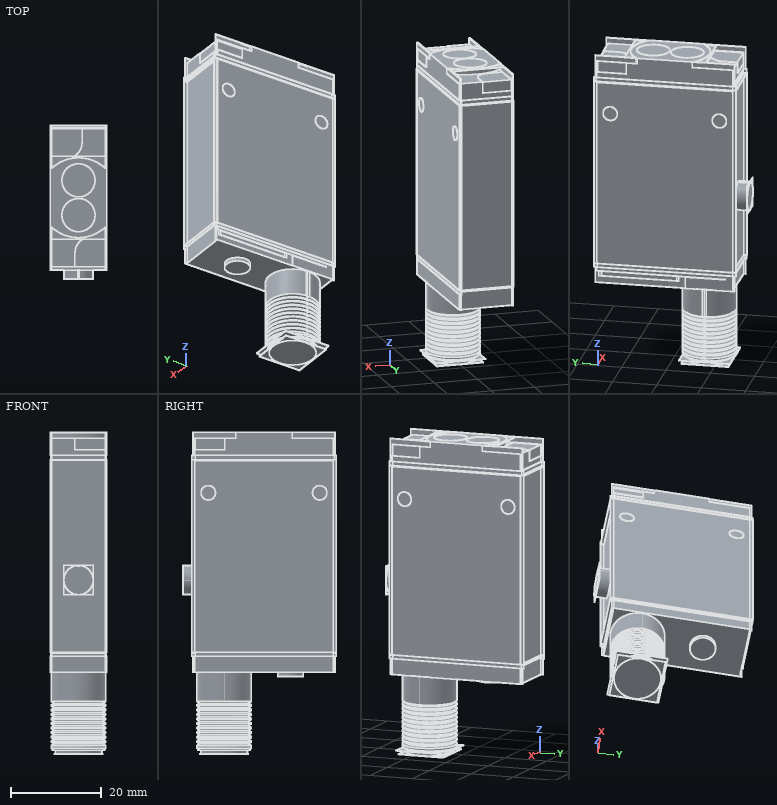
import cadquery as cq


width = 12.5
length = 32.0
height = 71.1
housing_bottom = 18.05
plate_thickness = 0.35
cap_length = 31.4
core_length = 30.55
core_width = width - 2 * plate_thickness
end_floor = 69.8
upper_seam = (65.05, 65.95)
lower_seam = (21.6, 22.45)
flange_thickness = 0.15
flange_tops = (upper_seam[0], lower_seam[1])
rear_lip = 0.2

step = 0.1
deep_step = 0.15
deepest_step = 0.2
seam_ledge = 0.2

optic_radius = 8.8
optic_plate_length = 18.3
lens_diameter = 7.3
lens_offset = 3.85
notch_inner = (optic_radius**2 - (width / 2) ** 2) ** 0.5

window_edge_x = 0.8
window_edge_y = 8.7
window_bottom = 67.25
window_corner_radius = 3.5

mount_diameter = 3.2
mount_offset = 12.3
mount_z = 57.7

latch_top = 20.75
latch_edge_y = -4.6
latch_slot_y = (-3.1, 14.9)
latch_slot_floor_y = (-2.7, 14.3)
latch_slot_bottom = 19.6
latch_slit_end = -13.6

button_diameter = 6.5
button_z = 38.45
overall_length = 34.0
button_tip = length / 2 - overall_length
button_groove_width = 0.4
button_groove_depth = 0.15

connector_y = -8.8
connector_diameter = 12.1
thread_root_diameter = 10.8
thread_pitch = 1.0
thread_top = 11.65
thread_count = 10
thread_crest = 0.2
collar_height = 0.35
tip_diameter = 10.4
collar_z = 0.85
collar_size = 11.5
tip_plate_size = 10.65
plate_height = 0.1
key_groove_width = 1.0
key_groove_depth = 0.2

screw_diameter = 5.7
screw_y = 5.8
screw_bottom = 17.1


def block(x, y, z):
    """Box spanning the given (low, high) pairs along each axis."""
    size = [high - low for low, high in (x, y, z)]
    return cq.Workplane("XY").box(*size, centered=False).translate((x[0], y[0], z[0]))


def centred_block(size_x, size_y, z):
    return block((-size_x / 2, size_x / 2), (-size_y / 2, size_y / 2), z)


def post(diameter, y, z):
    """Upright cylinder on the X = 0 plane."""
    return cq.Workplane("XY", origin=(0, y, z[0])).circle(diameter / 2).extrude(z[1] - z[0])


def half_turn(shape):
    return shape.rotate((0, 0, 0), (0, 0, 1), 180)


def both_ways(shape):
    """The shape and its copy turned half a turn about Z."""
    return shape.union(half_turn(shape))


def make_core():
    core = centred_block(core_width, core_length, (housing_bottom, end_floor))
    rear = (core_length / 2, core_length / 2 + rear_lip)
    core = core.union(block((-core_width / 2, core_width / 2), rear, upper_seam))
    front = (-core_length / 2, -core_length / 2 + step)
    for seam in (upper_seam, lower_seam):
        core = core.cut(block((-core_width / 2, core_width / 2), front, seam))
    for z in flange_tops:
        core = core.union(centred_block(width, length, (z - flange_thickness, z)))
    return core


def make_side_plates():
    x = (-width / 2, -core_width / 2)
    plate = block(x, (-cap_length / 2, cap_length / 2), (housing_bottom, height))
    plate = plate.union(block(x, (-length / 2, length / 2), (lower_seam[0], upper_seam[1])))
    return both_ways(plate)


def make_optics():
    """Round-ended lens block rising just above a thin rectangular plate, with two sunk lenses."""
    rise = (end_floor, height)
    optics = post(2 * optic_radius, 0, rise).intersect(centred_block(width, length, rise))
    plate_top = height - step
    plate = centred_block(width, optic_plate_length, (plate_top - plate_height, plate_top))
    optics = optics.union(plate)
    for y in (-lens_offset, lens_offset):
        optics = optics.cut(post(lens_diameter, y, (plate_top, height)))
    return optics


def side_sink(depth, y, z):
    """Cutter for a shallow recess in the -X face."""
    return block((-width / 2, -width / 2 + depth), y, z)


def side_details():
    """Steps found on both wide faces: end notches, edge strips, seams and mounting marks."""
    half_core = core_length / 2
    half_length = length / 2
    cutter = side_sink(step, (notch_inner, half_length), (end_floor, height))
    cutter = cutter.union(side_sink(step, (-half_length, -notch_inner), (end_floor, height)))
    for y in ((half_core, half_length), (-half_length, -half_core)):
        cutter = cutter.union(side_sink(step, y, (housing_bottom, end_floor)))
    for z in (upper_seam, lower_seam):
        cutter = cutter.union(side_sink(deep_step, (-half_length, half_length), z))
    ledge = (upper_seam[0] - seam_ledge, upper_seam[0])
    cutter = cutter.union(side_sink(step, (-half_length, half_length), ledge))
    marks = (
        cq.Workplane("YZ", origin=(-width / 2, 0, 0))
        .pushPoints([(-mount_offset, mount_z), (mount_offset, mount_z)])
        .circle(mount_diameter / 2)
        .extrude(step)
    )
    return both_ways(cutter.union(marks))


def windows():
    """Sunk faces of the corner windows: on the end floor, the +Y end and the -X side."""
    half_core = core_length / 2
    z = (window_bottom, end_floor)
    x = (-core_width / 2, window_edge_x)
    top = block(x, (window_edge_y, half_core), (end_floor - step, end_floor))
    top = top.edges("|Z and >X and <Y").fillet(window_corner_radius)
    end = block(x, (half_core - step, half_core), z)
    side = side_sink(deep_step, (window_edge_y, half_core), z)
    return both_ways(top.union(end).union(side))


def latch_panel():
    panel = side_sink(step, (latch_edge_y, length / 2), (housing_bottom, latch_top))
    slot = side_sink(deep_step, latch_slot_y, (latch_slot_bottom, latch_top))
    slot = slot.union(side_sink(deepest_step, latch_slot_floor_y, (latch_slot_bottom, latch_top)))
    slit = side_sink(step, (latch_slit_end, latch_edge_y), (latch_top - step, latch_top))
    return panel.union(slot).union(slit)


def make_button():
    radius = button_diameter / 2
    face = cq.Workplane("XZ", origin=(0, button_tip, button_z))
    button = face.circle(radius).extrude(button_tip + core_length / 2)
    groove_x = (-button_groove_width / 2, button_groove_width / 2)
    groove_z = (button_z + radius - button_groove_depth, button_z + radius)
    button = button.cut(block(groove_x, (button_tip, -core_length / 2), groove_z))
    rim = cq.Workplane("XZ", origin=(0, button_tip + step, button_z))
    return button.union(rim.rect(button_diameter, button_diameter).extrude(-plate_height))


def make_connector():
    """Round connector: smooth neck, ridged thread and narrow tip, keyed along its -X side."""
    outer = connector_diameter / 2
    root = thread_root_diameter / 2
    tip = tip_diameter / 2
    flank = (thread_pitch - thread_crest) / 2
    profile = cq.Workplane("XZ").moveTo(0, housing_bottom).lineTo(outer, housing_bottom)
    for index in range(thread_count):
        groove_top = thread_top - index * thread_pitch
        profile = (
            profile.lineTo(outer, groove_top)
            .lineTo(root, groove_top - flank)
            .lineTo(outer, groove_top - 2 * flank)
        )
    thread_bottom = thread_top - thread_count * thread_pitch
    profile = profile.lineTo(outer, thread_bottom - collar_height).lineTo(root, collar_z)
    connector = profile.lineTo(tip, collar_z).lineTo(tip, 0).lineTo(0, 0).close().revolve()
    key_groove = (
        cq.Workplane("XY")
        .polyline(
            [
                (-outer, -key_groove_width / 2),
                (-outer + key_groove_depth, 0),
                (-outer, key_groove_width / 2),
            ]
        )
        .close()
        .extrude(housing_bottom)
    )
    connector = connector.cut(key_groove)
    for size, z in ((collar_size, collar_z), (tip_plate_size, 0)):
        connector = connector.union(centred_block(size, size, (z, z + plate_height)))
    return connector.translate((0, connector_y, 0))


result = make_core().union(make_side_plates()).union(make_optics())
result = result.cut(side_details()).cut(windows()).cut(latch_panel())
result = result.union(make_button()).union(make_connector())
result = result.union(post(screw_diameter, screw_y, (screw_bottom, housing_bottom)))